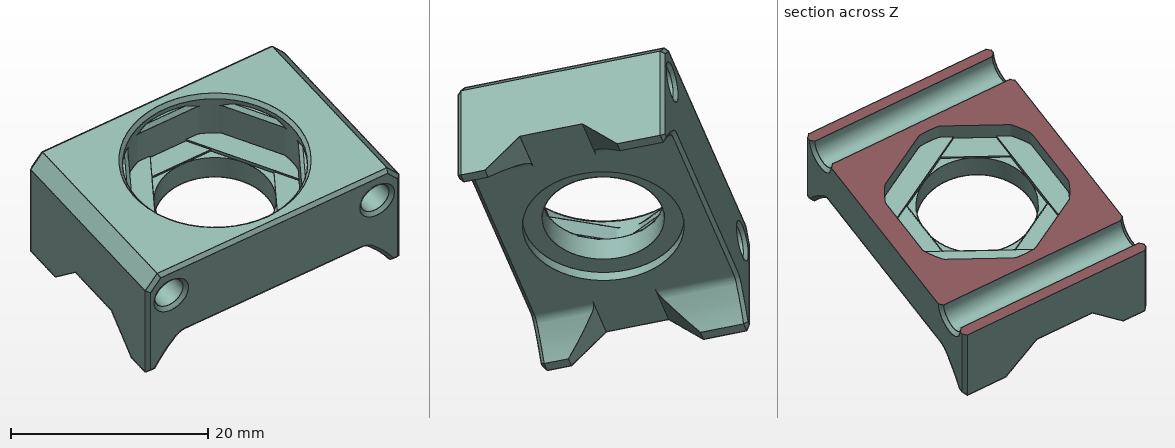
import cadquery as cq
import math

LENGTH_X = 21.89
LENGTH_Y = 30.8
HEIGHT = 13.21
TOP_BEVEL_Y = 1.45
TOP_BEVEL_Z = 1.7
SIDE_CHAMFER = 0.4
BLOCK_OFFSET_X = -0.05

ARCH_RADIUS = 16.7
ARCH_CENTER_Z = -8.63
CROWN_Z = 3.68
CROWN_FILLET = 1.5

NOTCH_CENTER_X = 0.95
NOTCH_TOP_WIDTH = 6.6
NOTCH_BOTTOM_WIDTH = NOTCH_TOP_WIDTH + 2 * CROWN_Z

CROSS_HOLE_DIA = 3.4
CROSS_HOLE_Y = 12.5
CROSS_HOLE_Z = 9.7
CROSS_HOLE_CHAMFER = 0.4

BORE_DIA = 12.4
POCKET_DIA = 18.75
UNDERSIDE_RECESS_DIA = 16.4
UNDERSIDE_RECESS_DEPTH = 1.1
POCKET_FLOOR_Z = 7.93
POCKET_CHAMFER_WIDTH = 0.37
POCKET_CHAMFER_DEPTH = 0.45
NUT_FLATS = 17.3
NUT_FLATS_HEIGHT = 3.9
NUT_CORNER_FILLET = 0.9
NUT_LEDGE_SLOPE_WIDTH = 0.41
NUT_LEDGE_SLOPE_HEIGHT = 0.4
FLOOR_STEP = 0.2


def polygon_prism(sides, inscribed_dia, bottom_z, height, taper=0):
    """Regular prism on the bore axis, with one flat facing +X; a negative taper widens it upward."""
    corner_dia = inscribed_dia / math.cos(math.pi / sides)
    return (
        cq.Workplane("XY", origin=(0, 0, bottom_z))
        .transformed(rotate=(0, 0, 180 / sides))
        .polygon(sides, corner_dia)
        .extrude(height, taper=taper)
    )


def cylinder(diameter, bottom_z, height):
    """Cylinder on the bore axis."""
    return cq.Workplane("XY", origin=(0, 0, bottom_z)).circle(diameter / 2).extrude(height)


def arch_half_width(z):
    """Half width in Y of the arch circle at height z."""
    return math.sqrt(ARCH_RADIUS**2 - (z - ARCH_CENTER_Z) ** 2)


def make_block():
    """Arched block with its two X faces chamfered all round."""
    half_y = LENGTH_Y / 2
    foot_y = arch_half_width(0)
    flank_z = CROWN_Z / 2
    flank_y = arch_half_width(flank_z)
    crown_y = arch_half_width(CROWN_Z)
    profile = (
        cq.Workplane("YZ", origin=(BLOCK_OFFSET_X - LENGTH_X / 2, 0, 0))
        .moveTo(-half_y, 0)
        .lineTo(-half_y, HEIGHT - TOP_BEVEL_Z)
        .lineTo(-half_y + TOP_BEVEL_Y, HEIGHT)
        .lineTo(half_y - TOP_BEVEL_Y, HEIGHT)
        .lineTo(half_y, HEIGHT - TOP_BEVEL_Z)
        .lineTo(half_y, 0)
        .lineTo(foot_y, 0)
        .threePointArc((flank_y, flank_z), (crown_y, CROWN_Z))
        .lineTo(-crown_y, CROWN_Z)
        .threePointArc((-flank_y, flank_z), (-foot_y, 0))
        .close()
    )
    block = profile.extrude(LENGTH_X)
    block = block.edges(cq.selectors.NearestToPointSelector((0, crown_y, CROWN_Z))).fillet(CROWN_FILLET)
    block = block.edges(cq.selectors.NearestToPointSelector((0, -crown_y, CROWN_Z))).fillet(CROWN_FILLET)
    return block.faces("<X or >X").chamfer(SIDE_CHAMFER)


def make_notch():
    """Cutter for the trapezoidal notch through the feet."""
    return (
        cq.Workplane("XZ", origin=(NOTCH_CENTER_X, 0, 0))
        .moveTo(-NOTCH_BOTTOM_WIDTH / 2, 0)
        .lineTo(-NOTCH_TOP_WIDTH / 2, CROWN_Z)
        .lineTo(NOTCH_TOP_WIDTH / 2, CROWN_Z)
        .lineTo(NOTCH_BOTTOM_WIDTH / 2, 0)
        .close()
        .extrude(LENGTH_Y, both=True)
    )


def make_cross_hole(y):
    """Cutter for one cross hole, countersunk at both ends."""
    near_countersink = (
        cq.Workplane("YZ", origin=(BLOCK_OFFSET_X - LENGTH_X / 2, y, CROSS_HOLE_Z))
        .circle(CROSS_HOLE_DIA / 2 + CROSS_HOLE_CHAMFER)
        .workplane(offset=CROSS_HOLE_CHAMFER)
        .circle(CROSS_HOLE_DIA / 2)
        .loft()
    )
    far_countersink = near_countersink.mirror("YZ", (BLOCK_OFFSET_X, 0, 0))
    shank = (
        cq.Workplane("YZ", origin=(BLOCK_OFFSET_X, y, CROSS_HOLE_Z))
        .circle(CROSS_HOLE_DIA / 2)
        .extrude(LENGTH_X / 2, both=True)
    )
    return shank.union(near_countersink).union(far_countersink)


def make_nut_pocket():
    """Cutters for the nut pocket, from its floor up to the chamfered rim."""
    flats_top_z = POCKET_FLOOR_Z + NUT_FLATS_HEIGHT
    ledge_z = flats_top_z + NUT_LEDGE_SLOPE_HEIGHT
    chamfer_z = HEIGHT - POCKET_CHAMFER_DEPTH

    seat = polygon_prism(6, NUT_FLATS, POCKET_FLOOR_Z, NUT_FLATS_HEIGHT)
    seat = seat.intersect(cylinder(POCKET_DIA, POCKET_FLOOR_Z, NUT_FLATS_HEIGHT))
    seat = seat.edges("|Z").fillet(NUT_CORNER_FILLET)
    slope_angle = math.degrees(math.atan2(NUT_LEDGE_SLOPE_WIDTH, NUT_LEDGE_SLOPE_HEIGHT))
    slope = polygon_prism(6, NUT_FLATS, flats_top_z, NUT_LEDGE_SLOPE_HEIGHT, -slope_angle)
    slope = slope.intersect(cylinder(POCKET_DIA, flats_top_z, NUT_LEDGE_SLOPE_HEIGHT))
    mouth = cylinder(POCKET_DIA, ledge_z, HEIGHT - ledge_z)
    rim = (
        cq.Workplane("XY", origin=(0, 0, chamfer_z))
        .circle(POCKET_DIA / 2)
        .workplane(offset=POCKET_CHAMFER_DEPTH)
        .circle(POCKET_DIA / 2 + POCKET_CHAMFER_WIDTH)
        .loft()
    )
    return [seat, slope, mouth, rim]


def make_floor_steps():
    """Triangular step, then hexagonal step, each tangent to the bore."""
    triangle_z = POCKET_FLOOR_Z - FLOOR_STEP
    hexagon_z = triangle_z - FLOOR_STEP
    triangle = polygon_prism(3, BORE_DIA, triangle_z, FLOOR_STEP)
    seat_outline = polygon_prism(6, NUT_FLATS, triangle_z, FLOOR_STEP)
    triangle = triangle.intersect(seat_outline)
    triangle = triangle.intersect(cylinder(POCKET_DIA, triangle_z, FLOOR_STEP))
    hexagon = polygon_prism(6, BORE_DIA, hexagon_z, FLOOR_STEP)
    return triangle.union(hexagon)


result = make_block().cut(make_notch())
for side in (-1, 1):
    result = result.cut(make_cross_hole(side * CROSS_HOLE_Y))
for section in make_nut_pocket():
    result = result.cut(section)
result = result.cut(make_floor_steps())
result = result.cut(cylinder(BORE_DIA, 0, HEIGHT))
result = result.cut(cylinder(UNDERSIDE_RECESS_DIA, 0, CROWN_Z + UNDERSIDE_RECESS_DEPTH))